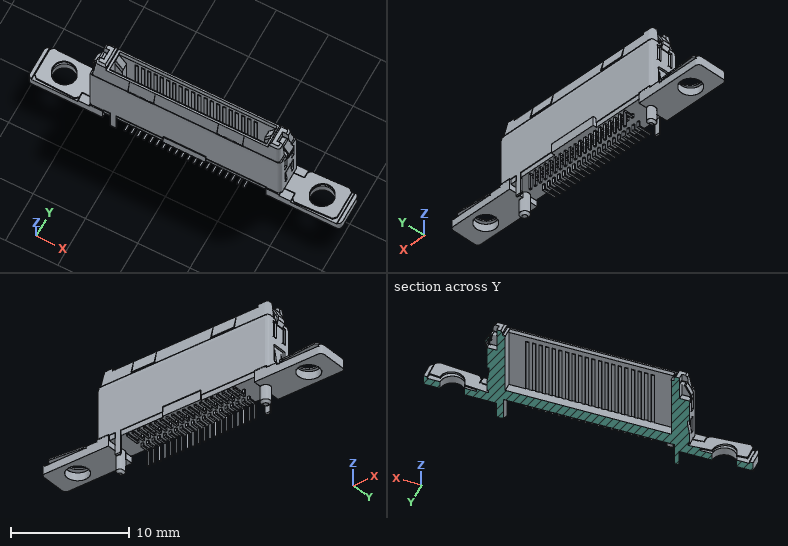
import cadquery as cq

flange_length = 29.95
flange_width = 3.3
flange_inner_x = 7.8
flange_height = 1.0
flange_corner_radius = 0.4
lip_length = 0.35
seat_height = 0.8
seat_inner_x = 10.18
hole_x = 12.35
hole_diameter = 2.2

body_length = 18.42
body_width = 3.08
body_bottom = 1.17
body_corner_radius = 0.35
shoulder_bottom = 6.15
shoulder_top = 6.6
shoulder_inset = 0.1
base_bottom = 0.63
base_width = 3.0
nose_length = 17.97
nose_width = 2.85
nose_top_length = 17.6
nose_top_width = 2.1
nose_corner_radius = 0.3
rim_height = 8.0
total_top = 8.48
post_inner_x = 7.75
post_chamfer = 0.18

cavity_length = 15.03
cavity_width = 1.6
cavity_floor = 1.8
lead_in_width = 1.92
lead_in_depth = 0.25
key_length = 0.72
key_width = 0.78
key_height = 1.08
key_chamfer = 0.15

contact_count = 20
contact_pitch = 0.6
contact_width = 0.2
contact_thickness = 0.15
row_offset = 0.15
tail_outer_y = 1.47
tail_bottom = -1.23
foot_tip_y = -1.92
foot_heel_y = -0.45
tail_heel_y = 0.45
tail_bend_top = 0.45
groove_width = 0.3
groove_depth = 0.05
groove_top = 7.2

pad_x = 4.25
pad_length = 2.45
pad_bottom = 6.68
pad_overhang = 0.1

latch_width = 0.85
latch_thickness = 0.15
latch_foot = (9.25, 5.95)
latch_belly_x = 9.4
latch_belly_bottom = 6.4
latch_belly_top = 6.83
latch_head = (8.87, 7.82)
latch_root_x = 8.2
recess_width = 1.0
recess_depth = 0.7
slot_inner_y = 0.45
slot_width = 0.4
slot_bottom = 4.55
slot_depth = 0.18
window_width = 1.5
window_bottom = 2.1
window_height = 1.68
window_corner_radius = 0.12
tongue_width = 0.87
tongue_height = 1.35
tongue_foot = 0.2

plate_tip_x = 14.47
plate_tip_top = 1.45
plate_root_top = 1.02
plate_thickness = 0.18
plate_width = 3.23
plate_corner = 0.3
neck_width = 1.68

front_tab_length = 4.07
front_tab_y = -1.62
rear_tab_length = 5.03
rear_tab_y = 1.9
tab_bottom = 0.63
tab_top = 1.62
leg_x = 6.85
leg_width = 0.57
leg_thickness = 0.15
leg_tip_height = 0.15
leg_tip_inset = 0.05
peg_x = 8.03
peg_y = 0.375
peg_diameter = 1.0
oval_peg_length = 0.93
oval_peg_width = 0.72
peg_bottom = -1.7
peg_chamfer = 0.25

embed = 0.15

SIDES = (-1, 1)


def box(x_range, y_range, z_range):
    """Box between pairs of coordinates, each pair in either order."""
    (x0, x1), (y0, y1), (z0, z1) = (sorted(pair) for pair in (x_range, y_range, z_range))
    return cq.Workplane("XY").box(x1 - x0, y1 - y0, z1 - z0, centered=False).translate((x0, y0, z0))


def centred(size):
    return (-size / 2, size / 2)


def flange(side):
    end_x = side * flange_length / 2
    inner_x = side * flange_inner_x
    block = box((inner_x, end_x), centred(flange_width), (0, flange_height))
    block = block.edges("|Z and " + (">X" if side > 0 else "<X")).fillet(flange_corner_radius)
    seat = box(
        (side * seat_inner_x, end_x - side * lip_length),
        centred(flange_width),
        (seat_height, flange_height),
    )
    step = box((inner_x, side * (body_length / 2 - embed)), centred(flange_width), (base_bottom, body_bottom))
    hole = cq.Workplane("XY").center(side * hole_x, 0).circle(hole_diameter / 2).extrude(flange_height)
    return block.cut(seat).cut(hole).union(step)


def ground_plate(side):
    """Sloping sheet with clipped corners, narrowed to a neck where it enters the body."""
    root_x = side * (body_length / 2 - embed)
    profile = [
        (root_x, plate_root_top),
        (side * plate_tip_x, plate_tip_top),
        (side * plate_tip_x, plate_tip_top - plate_thickness),
        (root_x, plate_root_top - plate_thickness),
    ]
    sheet = cq.Workplane("XZ").polyline(profile).close().extrude(plate_width / 2, both=True)
    heights = (0, total_top)
    outline = box((side * seat_inner_x, side * plate_tip_x), centred(plate_width), heights)
    outline = outline.edges("|Z").chamfer(plate_corner)
    neck = box((0, side * (seat_inner_x + plate_corner)), centred(neck_width), heights)
    hole = cq.Workplane("XY").center(side * hole_x, 0).circle(hole_diameter / 2).extrude(total_top)
    return sheet.intersect(outline.union(neck)).cut(hole)


def body():
    main = (
        cq.Workplane("XY")
        .box(body_length, body_width, shoulder_top - body_bottom, centered=(True, True, False))
        .translate((0, 0, body_bottom))
        .edges("|Z")
        .fillet(body_corner_radius)
        .faces(">Z")
        .chamfer(shoulder_top - shoulder_bottom, shoulder_inset)
    )
    base = box(centred(2 * flange_inner_x), centred(base_width), (base_bottom, body_bottom))
    nose = (
        cq.Workplane("XY", origin=(0, 0, shoulder_top))
        .rect(nose_length, nose_width)
        .workplane(offset=total_top - shoulder_top)
        .rect(nose_top_length, nose_top_width)
        .loft(ruled=True)
        .edges("not #Z")
        .fillet(nose_corner_radius)
    )
    opening = box(centred(2 * post_inner_x), centred(nose_width), (rim_height, total_top))
    nose = nose.cut(opening).faces(">Z").chamfer(post_chamfer)
    return main.union(base).union(nose)


def nose_pads():
    """Wedges that stand proud at the bottom and run out flush at the rim."""
    foot_y = nose_width / 2 + pad_overhang
    slope = (nose_width - nose_top_width) / 2 / (total_top - shoulder_top)
    rim_y = nose_width / 2 - slope * (rim_height - shoulder_top)
    profile = [(0, pad_bottom), (foot_y, pad_bottom), (rim_y, rim_height), (0, rim_height)]
    half = cq.Workplane("YZ").polyline(profile).close().extrude(pad_length / 2, both=True)
    pad = half.union(half.mirror("XZ"))
    return pad.translate((-pad_x, 0, 0)).union(pad.translate((pad_x, 0, 0)))


def contact_xs(offset):
    first = offset - contact_pitch * (contact_count - 1) / 2
    return [first + contact_pitch * i for i in range(contact_count)]


def cavity():
    """Mating pocket with a flared mouth and one contact groove per contact."""
    pocket = box(centred(cavity_length), centred(cavity_width), (cavity_floor, total_top))
    mouth = (
        cq.Workplane("XY", origin=(0, 0, rim_height))
        .rect(cavity_length, lead_in_width)
        .workplane(offset=-lead_in_depth)
        .rect(cavity_length, cavity_width)
        .loft(ruled=True)
    )
    pocket = pocket.union(mouth)
    for side in SIDES:
        wall_y = side * cavity_width / 2
        grooves = (
            cq.Workplane("XY", origin=(0, 0, cavity_floor))
            .pushPoints([(x, wall_y) for x in contact_xs(-side * row_offset)])
            .rect(groove_width, 2 * groove_depth)
            .extrude(groove_top - cavity_floor)
        )
        pocket = pocket.union(grooves)
    return pocket


def key(side):
    """Sloped polarising block in a corner of the cavity."""
    wall_x = side * (cavity_length / 2 + embed)
    tip_x = side * (cavity_length / 2 - key_length)
    top = rim_height - lead_in_depth
    profile = [
        (wall_x, top),
        (side * cavity_length / 2, top),
        (tip_x, top - key_height),
        (tip_x, cavity_floor),
        (wall_x, cavity_floor),
    ]
    block = cq.Workplane("XZ").polyline(profile).close().extrude(-key_width)
    block = block.edges("<Y").edges("not (|X or |Z)").chamfer(key_chamfer)
    return block.translate((0, cavity_width / 2 - key_width, 0))


def end_cuts(side):
    """Latch recess, the two slots beside it and the U-shaped slot around the lower tongue."""
    nose_end = nose_length / 2
    body_end = body_length / 2
    skin = (side * (body_end - slot_depth), side * (body_end + embed))
    cuts = box(
        (side * (nose_end - recess_depth), side * (body_end + embed)),
        centred(recess_width),
        (shoulder_bottom, total_top),
    )
    for y_side in SIDES:
        slot_ys = (y_side * slot_inner_y, y_side * (slot_inner_y + slot_width))
        cuts = cuts.union(box(skin, slot_ys, (slot_bottom, shoulder_bottom)))
    window = box(skin, centred(window_width), (window_bottom, window_bottom + window_height))
    window = window.edges("|X").fillet(window_corner_radius)
    tongue_top = window_bottom + tongue_height
    profile = [
        (side * (body_end - slot_depth), window_bottom),
        (side * body_end, window_bottom),
        (side * body_end, window_bottom + tongue_foot),
        (side * (body_end - slot_depth), tongue_top),
    ]
    tongue = cq.Workplane("XZ").polyline(profile).close().extrude(tongue_width / 2, both=True)
    return cuts.union(window.cut(tongue))


def latch(side):
    """Bent strip that bulges out of the end recess."""
    outer = [
        latch_foot,
        (latch_belly_x, latch_belly_bottom),
        (latch_belly_x, latch_belly_top),
        latch_head,
        (latch_root_x, latch_head[1]),
    ]
    inner = [(x - latch_thickness, z - latch_thickness / 2) for x, z in reversed(outer)]
    profile = [(side * x, z) for x, z in outer + inner]
    return cq.Workplane("XZ").polyline(profile).close().extrude(latch_width / 2, both=True)


def contact(x, heel_y, tip_y, bend_top):
    """Strip that drops from the base and bends outward, its bend topped at bend_top."""
    width = (x - contact_width / 2, x + contact_width / 2)
    direction = 1 if tip_y > heel_y else -1
    bend = (bend_top - contact_thickness, bend_top)
    shank = box(width, (heel_y, heel_y + direction * contact_thickness), (bend[0], body_bottom))
    return shank.union(box(width, (heel_y, tip_y), bend))


def contacts():
    """Row of downward tails on the +Y side and row of flat feet on the -Y side."""
    parts = cq.Workplane("XY")
    for x in contact_xs(-row_offset):
        drop = box(
            (x - contact_width / 2, x + contact_width / 2),
            (tail_outer_y - contact_thickness, tail_outer_y),
            (tail_bottom, tail_bend_top),
        )
        parts = parts.add(contact(x, tail_heel_y, tail_outer_y, tail_bend_top).union(drop))
    for x in contact_xs(row_offset):
        parts = parts.add(contact(x, foot_heel_y, foot_tip_y, contact_thickness))
    return parts.combine()


def shield_tabs():
    heights = (tab_bottom, tab_top)
    front = box(centred(front_tab_length), (front_tab_y, 0), heights)
    rear = box(centred(rear_tab_length), (0, rear_tab_y), heights)
    return front.union(rear)


def leg(side):
    """Solder leg on one long face; side is both its X and its Y direction."""
    outer_y = side * body_width / 2
    blade = box(
        (side * leg_x - leg_width / 2, side * leg_x + leg_width / 2),
        (outer_y, outer_y - side * leg_thickness),
        (tail_bottom, body_bottom + embed),
    )
    return blade.faces("<Z").chamfer(leg_tip_height, leg_tip_inset)


def pegs():
    start = cq.Workplane("XY", origin=(0, 0, peg_bottom))
    height = body_bottom - peg_bottom
    round_peg = start.center(peg_x, -peg_y).circle(peg_diameter / 2).extrude(height)
    oval_peg = start.center(-peg_x, peg_y).slot2D(oval_peg_length, oval_peg_width, 90).extrude(height)
    return round_peg.faces("<Z").chamfer(peg_chamfer).union(oval_peg.faces("<Z").chamfer(peg_chamfer))


result = body().union(nose_pads()).cut(cavity())
for side in SIDES:
    result = result.union(key(side)).cut(end_cuts(side)).union(latch(side))
    result = result.union(flange(side)).union(ground_plate(side)).union(leg(side))
result = result.union(contacts()).union(shield_tabs()).union(pegs())